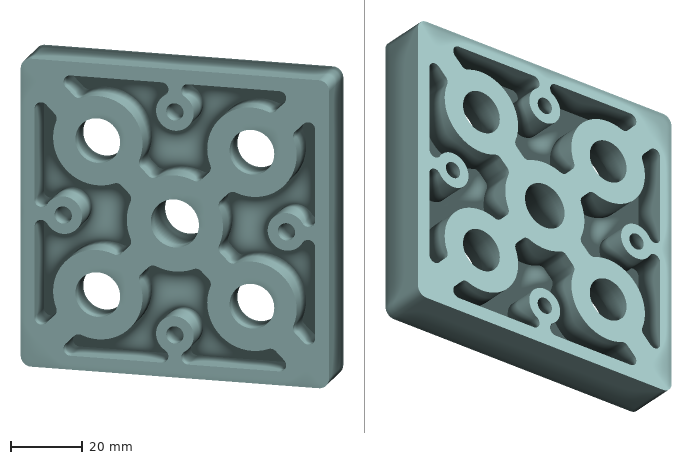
import cadquery as cq

side = 89.9
thickness = 15.0
corner_radius = 3.0

wall = 4.05
floor = 5.0
pocket_fillet = 2.0

centre_boss_radius = 14.0
centre_hole_diameter = 14.0
corner_boss_radius = 13.0
corner_hole_diameter = 13.0
corner_boss_offset = 22.5
corner_counterbore_diameter = 20.0
corner_counterbore_depth = 6.8
edge_boss_radius = 5.5
edge_hole_diameter = 5.0
edge_boss_offset = 32.5

rib_width = 8.0
rib_length = 2 * side
rib_angles = (45, 135)

pocket_depth = thickness - floor
front_y = -thickness / 2
back_y = thickness / 2

centre_points = [(0, 0)]
corner_points = [(x, z) for x in (-corner_boss_offset, corner_boss_offset)
                 for z in (-corner_boss_offset, corner_boss_offset)]
edge_points = [(edge_boss_offset, 0), (-edge_boss_offset, 0), (0, edge_boss_offset), (0, -edge_boss_offset)]

bosses = [
    (centre_points, centre_boss_radius, centre_hole_diameter),
    (corner_points, corner_boss_radius, corner_hole_diameter),
    (edge_points, edge_boss_radius, edge_hole_diameter),
]


def front_plane():
    """Workplane on the -Y face: local x is X, local y is Z, normal points out of the plate."""
    return cq.Workplane("XZ", origin=(0, front_y, 0))


def make_plate():
    plate = cq.Workplane("XY").box(side, thickness, side)
    return plate.edges("|Y").fillet(corner_radius)


def make_pockets():
    """Every space between wall, bosses and ribs, with its corners rounded to the fillet radius.

    The spaces are first drawn smaller by the fillet radius, with sharp corners.
    Growing them back by that radius rounds each corner, and closes the narrow
    gaps between the edge bosses and the wall.
    """
    inner_side = side - 2 * (wall + pocket_fillet)
    spaces = front_plane().rect(inner_side, inner_side).extrude(-pocket_depth)
    for points, boss_radius, _ in bosses:
        spaces = spaces.cut(front_plane().pushPoints(points).circle(boss_radius + pocket_fillet)
                            .extrude(-pocket_depth))
    for angle in rib_angles:
        rib = front_plane().rect(rib_length, rib_width + 2 * pocket_fillet).extrude(-pocket_depth)
        spaces = spaces.cut(rib.rotate((0, 0, 0), (0, 1, 0), angle))
    outlines = spaces.faces("<Y").wires()
    return outlines.toPending().offset2D(pocket_fillet, "arc").extrude(-pocket_depth)


def make_holes():
    """Through holes of all bosses."""
    holes = cq.Workplane("XZ")
    for points, _, hole_diameter in bosses:
        holes = holes.add(front_plane().pushPoints(points).circle(hole_diameter / 2).extrude(-thickness))
    return holes.combine()


def make_counterbores():
    """Recesses in the +Y face around the corner holes."""
    back_plane = cq.Workplane("XZ", origin=(0, back_y, 0))
    return back_plane.pushPoints(corner_points).circle(corner_counterbore_diameter / 2).extrude(
        corner_counterbore_depth)


result = make_plate().cut(make_pockets()).cut(make_holes()).cut(make_counterbores())